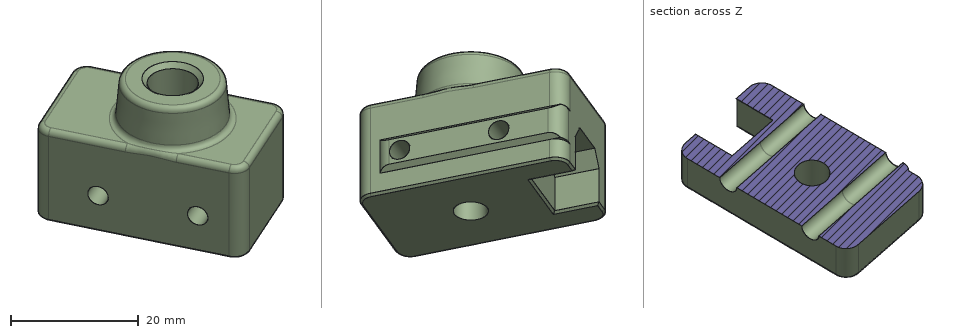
import cadquery as cq

body_length = 35.0
body_depth = 20.0
body_height = 17.0
corner_radius = 2.5
top_fillet = 1.0
bottom_chamfer = 0.4

total_height = 24.5
boss_x = 2.0
boss_base_diameter = 18.0
boss_taper_angle = 5.0
boss_top_fillet = 1.0
boss_base_fillet = 1.0

through_diameter = 5.5
socket_diameter = 8.0
socket_chamfer = 0.8
socket_depth = total_height - body_height

band_right_end = 14.07
band_rise = 0.8
band_centre_z = 6.75
band_height = 6.1

cross_hole_diameter = 3.4
cross_hole_spacing = 16.6
cross_hole_centre_x = 1.5
cross_hole_z = band_centre_z

channel_length = 7.42
channel_width = 10.35
channel_height = 9.15
channel_roof_width = 6.55
channel_wall_height = 6.48

left_x = -body_length / 2
front_y = -body_depth / 2


def make_body_and_boss():
    block = (
        cq.Workplane("XY")
        .box(body_length, body_depth, body_height, centered=(True, True, False))
        .edges("|Z").fillet(corner_radius)
    )
    boss = (
        cq.Workplane("XY", origin=(boss_x, 0, body_height))
        .circle(boss_base_diameter / 2)
        .extrude(total_height - body_height, taper=boss_taper_angle)
        .faces(">Z").edges().fillet(boss_top_fillet)
    )
    joined = block.union(boss)
    boss_foot = cq.NearestToPointSelector((boss_x, 0, body_height))
    joined = joined.edges(boss_foot).fillet(boss_base_fillet)
    return joined.faces("<Y").edges(">Z").fillet(top_fillet)


def make_band():
    band = cq.Workplane("XY", origin=(left_x, front_y, band_centre_z)).box(
        band_right_end - left_x,
        body_depth + band_rise,
        band_height,
        centered=(False, False, True),
    )
    bevelled = band.faces(">Y").edges("|X").chamfer(band_rise)
    rounded = band.edges("|Z").fillet(corner_radius)
    return bevelled.intersect(rounded)


def make_channel():
    half_width = channel_width / 2
    half_roof = channel_roof_width / 2
    profile = [
        (-half_width, 0),
        (-half_width, channel_wall_height),
        (-half_roof, channel_height),
        (half_roof, channel_height),
        (half_width, channel_wall_height),
        (half_width, 0),
    ]
    return cq.Workplane("YZ", origin=(left_x, 0, 0)).polyline(profile).close().extrude(channel_length)


def make_bore():
    through_hole = cq.Workplane("XY", origin=(boss_x, 0, 0)).circle(through_diameter / 2).extrude(total_height)
    socket = (
        cq.Workplane("XY", origin=(boss_x, 0, total_height))
        .circle(socket_diameter / 2)
        .extrude(-socket_depth)
    )
    lead_in = cq.Workplane(
        cq.Solid.makeCone(
            socket_diameter / 2,
            socket_diameter / 2 + socket_chamfer,
            socket_chamfer,
            pnt=cq.Vector(boss_x, 0, total_height - socket_chamfer),
        )
    )
    return through_hole.union(socket).union(lead_in)


def make_cross_holes():
    half_spacing = cross_hole_spacing / 2
    return (
        cq.Workplane("XZ", origin=(cross_hole_centre_x, 0, cross_hole_z))
        .pushPoints([(-half_spacing, 0), (half_spacing, 0)])
        .circle(cross_hole_diameter / 2)
        .extrude(body_depth, both=True)
    )


result = (
    make_body_and_boss()
    .union(make_band())
    .cut(make_channel())
    .faces("<Z").edges().chamfer(bottom_chamfer)
    .cut(make_bore())
    .cut(make_cross_holes())
)